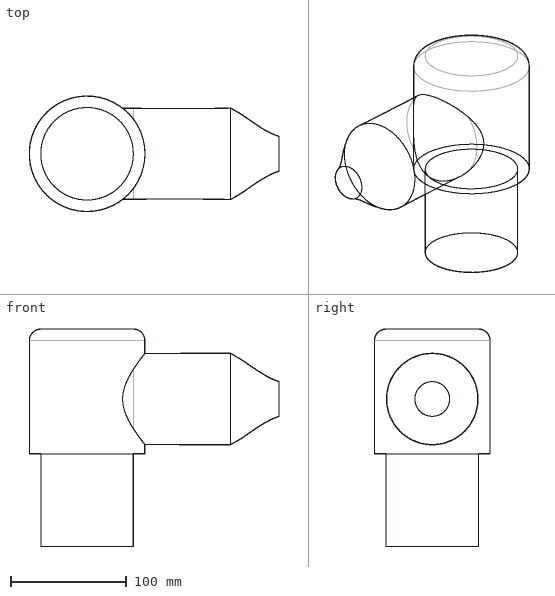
import cadquery as cq

spigot_diameter = 80.0
spigot_length = 80.0
head_diameter = 100.0
head_length = 108.0
head_edge_radius = 10.0

arm_axis_z = 127.5
arm_root_diameter = 78.87
arm_end_diameter = 79.2
arm_taper_start_x = spigot_diameter / 2
arm_end_x = 124.0

nozzle_middle_x = 145.0
nozzle_middle_diameter = 52.2
nozzle_waist_x = 156.0
nozzle_waist_diameter = 38.6
nozzle_tip_x = 166.0
nozzle_tip_diameter = 30.0


def make_upright_body():
    """Plain spigot below a wider head with a rounded top edge."""
    spigot = cq.Workplane("XY").circle(spigot_diameter / 2).extrude(spigot_length)
    head = (
        cq.Workplane("XY")
        .workplane(offset=spigot_length)
        .circle(head_diameter / 2)
        .extrude(head_length)
        .faces(">Z")
        .edges()
        .fillet(head_edge_radius)
    )
    return spigot.union(head)


def make_side_arm():
    """Cylinder, slight cone and curved nozzle, revolved about the arm axis."""
    root_radius = arm_root_diameter / 2
    nozzle_curve = [
        (nozzle_middle_x, nozzle_middle_diameter / 2),
        (nozzle_waist_x, nozzle_waist_diameter / 2),
        (nozzle_tip_x, nozzle_tip_diameter / 2),
    ]
    profile = (
        cq.Workplane("XZ", origin=(0, 0, arm_axis_z))
        .lineTo(0, root_radius)
        .lineTo(arm_taper_start_x, root_radius)
        .lineTo(arm_end_x, arm_end_diameter / 2)
        .spline(nozzle_curve, includeCurrent=True)
        .lineTo(nozzle_tip_x, 0)
        .close()
    )
    return profile.revolve(360, (0, 0, 0), (1, 0, 0))


result = make_upright_body().union(make_side_arm())